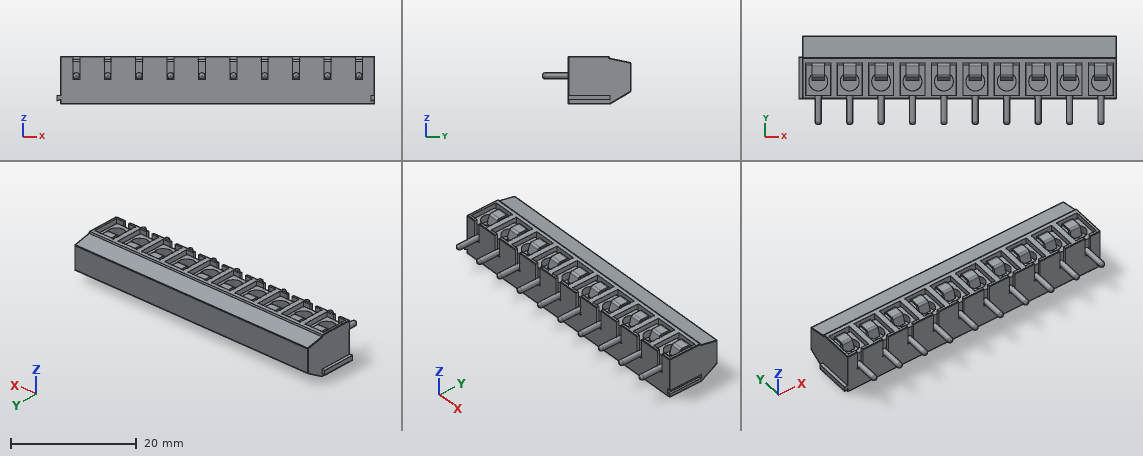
import cadquery as cq
import math

pole_count = 10
pitch = 5.0

length = pole_count * pitch
depth = 10.0
height = 7.6
edge_chamfer = 0.1
plateau_depth = 6.45
step_depth = 6.6
step_height = 7.32
back_top = 6.6
back_bottom = 2.0
foot_depth = 6.65

rail_width = 0.6
rail_length = foot_depth
rail_top = 1.4
rail_tip_bottom = 0.5
rail_root_bottom = 0.7

pocket_width = 4.0
pocket_front = 0.5
pocket_back = 5.7
pocket_floor = 5.35

clamp_width = 3.9
clamp_back = 5.35
clamp_top = 6.75
well_radius = 1.5
well_y = 2.75

leaf_width = 2.0
leaf_top = 7.08
leaf_bend = 0.45
leaf_front = 3.85
leaf_slope = math.radians(70)

pin_radius = 0.5
pin_z = 4.5
pin_reach = 4.1
pin_tip_radius = 0.4
slot_width = 1.1
slot_bottom = 3.9


def make_housing():
    outline = [
        (0, 0),
        (foot_depth, 0),
        (depth, back_bottom),
        (depth, back_top),
        (step_depth, step_height),
        (plateau_depth, height),
        (0, height),
    ]
    body = cq.Workplane("YZ").polyline(outline).close().extrude(length)
    return body.faces("<X or >X or <Y or >Y").edges().chamfer(edge_chamfer)


def make_rail(end_x):
    """Dovetail bar with its tip at end_x; its neck runs past the root by the width of the edge chamfer."""
    root_x = end_x + rail_width
    neck_x = root_x + edge_chamfer
    profile = [
        (neck_x, rail_top),
        (end_x, rail_top),
        (end_x, rail_tip_bottom),
        (root_x, rail_root_bottom),
        (neck_x, rail_root_bottom),
    ]
    return cq.Workplane("XZ").polyline(profile).close().extrude(-rail_length)


def box(width, y_min, y_max, z_min, z_max):
    """Block centred on x = 0."""
    block = cq.Workplane("XY").box(width, y_max - y_min, z_max - z_min, centered=(True, False, False))
    return block.translate((0, y_min, z_min))


def make_recess():
    pocket = box(pocket_width, pocket_front, pocket_back, pocket_floor, height)
    slot = box(slot_width, 0, pocket_front, slot_bottom, height)
    return pocket.union(slot)


def make_clamp():
    """Clamp body with its wire well and the leaf above it."""
    block = box(clamp_width, pocket_front, clamp_back, pocket_floor, clamp_top)
    well = cq.Workplane("XY").circle(well_radius).extrude(height).translate((0, well_y, pocket_floor))
    return block.cut(well).union(make_leaf())


def make_leaf():
    bend_z = leaf_top - leaf_bend

    def bend_point(angle):
        return (leaf_front - leaf_bend * math.sin(angle), bend_z + leaf_bend * math.cos(angle))

    ramp_y, ramp_z = bend_point(leaf_slope)
    toe_y = ramp_y - (ramp_z - pocket_floor) / math.tan(leaf_slope)
    back_y = pocket_back - leaf_bend
    arc_middle = leaf_bend * math.sqrt(0.5)
    profile = (
        cq.Workplane("YZ")
        .moveTo(toe_y, pocket_floor)
        .lineTo(ramp_y, ramp_z)
        .threePointArc(bend_point(leaf_slope / 2), bend_point(0))
        .lineTo(back_y, leaf_top)
        .threePointArc((back_y + arc_middle, bend_z + arc_middle), (pocket_back, bend_z))
        .lineTo(pocket_back, pocket_floor)
        .close()
    )
    return profile.extrude(leaf_width / 2, both=True)


def make_pin():
    pin = cq.Workplane("XZ").circle(pin_radius).extrude(pin_reach + pocket_front)
    pin = pin.faces("<Y").edges().fillet(pin_tip_radius)
    return pin.translate((0, pocket_front, pin_z))


def at_poles(shape):
    """Copies of the shape moved to the middle of each pole."""
    solid = shape.val()
    return [solid.translate(cq.Vector((i + 0.5) * pitch, 0, 0)) for i in range(pole_count)]


housing = make_housing().union(make_rail(-rail_width)).cut(make_rail(length - rail_width))
housing = cq.Workplane(housing.val().cut(*at_poles(make_recess())))
inserts = at_poles(make_clamp()) + at_poles(make_pin())
result = cq.Workplane(housing.val().fuse(*inserts)).clean()